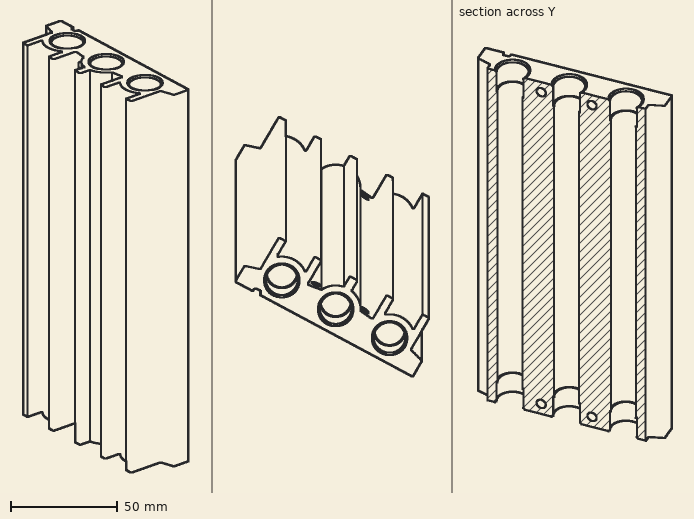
import cadquery as cq
import math

WIDTH = 95.6
DEPTH = 29.0
LENGTH = 194.0

LEG_TIP_Y = -DEPTH

BORE_PITCH = 29.0
BORE_Y = -11.3
BORE_DIAMETER = 14.15
THREAD_DIAMETER = 14.95
THREAD_DEPTH = 12.0
MOUTH_DIAMETER = 16.7
MOUTH_TAPER_DEGREES = 45
HULL_RADIUS = 11.7

LEG_GAP = 15.6
LEG_THICKNESS = 3.7
RIB_THICKNESS = 4.2
RIB_DEPTH = 28.7

FLANGE_EDGE_DEPTH = 9.0
FLANGE_ROOT_DEPTH = 11.2

POCKET_DEPTH_AT_LEG = 15.45
POCKET_SLOPE_DEGREES = 7.0

CORNER_RADIUS = 0.6
LEG_ROOT_RADIUS = 0.45

GROOVE_X = -36.4
GROOVE_WIDTH = 3.8
GROOVE_DEPTH = 1.9
GROOVE_CORNER_RADIUS = 1.23

MOUNT_DIAMETER = 4.5
MOUNT_X = 13.0
MOUNT_END_DISTANCE = 6.0

HALF_WIDTH = WIDTH / 2
RIB_X = RIB_THICKNESS / 2
INNER_LEG_INSIDE_X = BORE_PITCH - LEG_GAP / 2
INNER_LEG_OUTSIDE_X = INNER_LEG_INSIDE_X - LEG_THICKNESS
OUTER_LEG_INSIDE_X = BORE_PITCH + LEG_GAP / 2
OUTER_LEG_OUTSIDE_X = OUTER_LEG_INSIDE_X + LEG_THICKNESS


def hull_point(offset):
    """Offset from a bore axis and Y of a point on the lower side of its round wall."""
    return offset, BORE_Y - math.sqrt(HULL_RADIUS**2 - offset**2)


def pocket_floor_end():
    """Point where the sloping pocket floor runs into the round wall of the middle bore."""
    slope = math.tan(math.radians(POCKET_SLOPE_DEGREES))
    rise = -POCKET_DEPTH_AT_LEG - BORE_Y - slope * INNER_LEG_OUTSIDE_X
    a = 1 + slope**2
    b = 2 * slope * rise
    c = rise**2 - HULL_RADIUS**2
    x = (-b + math.sqrt(b**2 - 4 * a * c)) / (2 * a)
    return x, BORE_Y + slope * x + rise


RIB_ROOT = hull_point(RIB_X)
LEG_ROOT_Y = hull_point(LEG_GAP / 2)[1]
POCKET_FLOOR_END = pocket_floor_end()

BACK_CORNER = (HALF_WIDTH, 0)
FLANGE_CORNER = (HALF_WIDTH, -FLANGE_EDGE_DEPTH)
FLANGE_ROOT = (OUTER_LEG_OUTSIDE_X, -FLANGE_ROOT_DEPTH)
OUTER_LEG_TIP = (OUTER_LEG_OUTSIDE_X, LEG_TIP_Y)
OUTER_LEG_INNER_TIP = (OUTER_LEG_INSIDE_X, LEG_TIP_Y)
OUTER_LEG_ROOT = (OUTER_LEG_INSIDE_X, LEG_ROOT_Y)
INNER_LEG_ROOT = (INNER_LEG_INSIDE_X, LEG_ROOT_Y)
INNER_LEG_TIP = (INNER_LEG_INSIDE_X, LEG_TIP_Y)
INNER_LEG_POCKET_TIP = (INNER_LEG_OUTSIDE_X, LEG_TIP_Y)
POCKET_CORNER = (INNER_LEG_OUTSIDE_X, -POCKET_DEPTH_AT_LEG)
RIB_TIP = (RIB_X, -RIB_DEPTH)

ROUNDED_CORNERS = [
    (BACK_CORNER, CORNER_RADIUS),
    (FLANGE_CORNER, CORNER_RADIUS),
    (FLANGE_ROOT, CORNER_RADIUS),
    (OUTER_LEG_TIP, CORNER_RADIUS),
    (OUTER_LEG_ROOT, LEG_ROOT_RADIUS),
    (INNER_LEG_ROOT, LEG_ROOT_RADIUS),
    (INNER_LEG_TIP, CORNER_RADIUS),
    (INNER_LEG_POCKET_TIP, CORNER_RADIUS),
    (POCKET_CORNER, CORNER_RADIUS),
    (RIB_TIP, CORNER_RADIUS),
]


def hull_midpoint(start, end):
    """Middle of the round wall of the middle bore between two points on it."""
    start_angle = math.atan2(start[1] - BORE_Y, start[0])
    end_angle = math.atan2(end[1] - BORE_Y, end[0])
    angle = (start_angle + end_angle) / 2
    return HULL_RADIUS * math.cos(angle), BORE_Y + HULL_RADIUS * math.sin(angle)


def half_bar():
    """The +X half of the bar, centred on Z = 0, with its long corners rounded."""
    bar = (
        cq.Workplane("XY", origin=(0, 0, -LENGTH / 2))
        .lineTo(*BACK_CORNER)
        .lineTo(*FLANGE_CORNER)
        .lineTo(*FLANGE_ROOT)
        .lineTo(*OUTER_LEG_TIP)
        .lineTo(*OUTER_LEG_INNER_TIP)
        .lineTo(*OUTER_LEG_ROOT)
        .threePointArc((BORE_PITCH, BORE_Y - HULL_RADIUS), INNER_LEG_ROOT)
        .lineTo(*INNER_LEG_TIP)
        .lineTo(*INNER_LEG_POCKET_TIP)
        .lineTo(*POCKET_CORNER)
        .lineTo(*POCKET_FLOOR_END)
        .threePointArc(hull_midpoint(POCKET_FLOOR_END, RIB_ROOT), RIB_ROOT)
        .lineTo(*RIB_TIP)
        .lineTo(0, -RIB_DEPTH)
        .close()
        .extrude(LENGTH)
    )
    for (x, y), radius in ROUNDED_CORNERS:
        corner_edge = cq.NearestToPointSelector((x, y, 0))
        bar = bar.edges("|Z").edges(corner_edge).fillet(radius)
    return bar


def bore_cutter(x):
    """Through bore with a thread-size length and a tapered mouth at each end."""
    centre = (x, BORE_Y)
    cutter = (
        cq.Workplane("XY", origin=(0, 0, -LENGTH / 2))
        .center(*centre)
        .circle(BORE_DIAMETER / 2)
        .extrude(LENGTH)
    )
    mouth_depth = (MOUTH_DIAMETER - THREAD_DIAMETER) / 2 / math.tan(math.radians(MOUTH_TAPER_DEGREES))
    threaded_end = (
        cq.Workplane("XY", origin=(0, 0, LENGTH / 2 - THREAD_DEPTH))
        .center(*centre)
        .circle(THREAD_DIAMETER / 2)
        .extrude(THREAD_DEPTH)
    )
    mouth = (
        cq.Workplane("XY", origin=(0, 0, LENGTH / 2))
        .center(*centre)
        .circle(MOUTH_DIAMETER / 2)
        .extrude(-mouth_depth, taper=MOUTH_TAPER_DEGREES)
    )
    top_end = threaded_end.union(mouth)
    return cutter.union(top_end).union(top_end.mirror("XY"))


def groove_cutter():
    """Round-cornered groove along the full length of the back face."""
    return (
        cq.Workplane("XY")
        .box(GROOVE_WIDTH, 2 * GROOVE_DEPTH, LENGTH)
        .edges("|Z and <Y")
        .fillet(GROOVE_CORNER_RADIUS)
        .translate((GROOVE_X, 0, 0))
    )


def mounting_hole_cutter():
    """Four holes through the bar in Y, two near each end."""
    return (
        cq.Workplane("XZ")
        .rect(2 * MOUNT_X, LENGTH - 2 * MOUNT_END_DISTANCE, forConstruction=True)
        .vertices()
        .circle(MOUNT_DIAMETER / 2)
        .extrude(DEPTH)
    )


half = half_bar()
result = half.union(half.mirror("YZ"))
for bore_x in (-BORE_PITCH, 0, BORE_PITCH):
    result = result.cut(bore_cutter(bore_x))
result = result.cut(groove_cutter())
result = result.cut(mounting_hole_cutter())